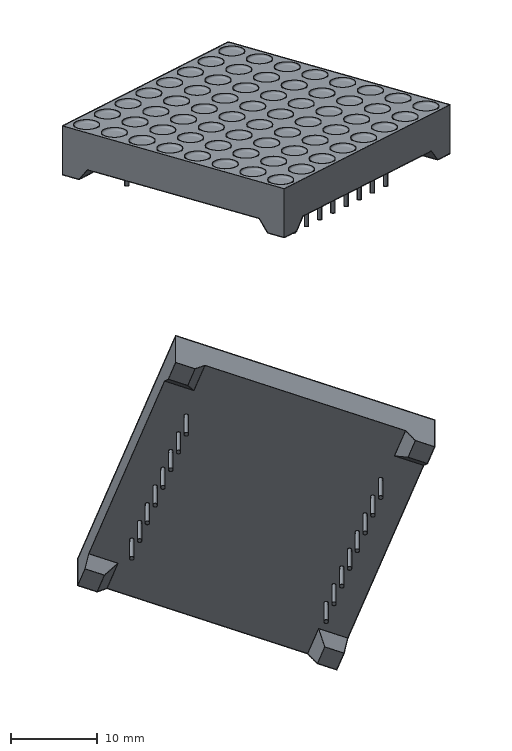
import cadquery as cq

side = 32.0
total_height = 8.77
body_height = 6.1
plate_thickness = 4.6

foot_tip_width = 2.4
foot_root_width = 3.6

dots_per_side = 8
dot_pitch = side / dots_per_side
dot_diameter = 3.0
dot_depth = 0.32
dot_floor_radius = 0.31

pin_diameter = 0.5
pins_per_row = 8
row_length = 17.8
pin_pitch = row_length / (pins_per_row - 1)
row_spacing = 24.0
pin_overlap = 0.32


def make_channel(plane):
    """Trapezoidal channel running through the whole underside, widening downwards."""
    half_root = side / 2 - foot_root_width
    half_tip = side / 2 - foot_tip_width
    return (
        cq.Workplane(plane)
        .polyline([
            (-half_root, -plate_thickness),
            (half_root, -plate_thickness),
            (half_tip, -body_height),
            (-half_tip, -body_height),
        ])
        .close()
        .extrude(side / 2, both=True)
    )


def make_body():
    """Square plate standing on four tapered corner feet."""
    block = cq.Workplane("XY").box(side, side, body_height, centered=(True, True, False))
    block = block.translate((0, 0, -body_height))
    return block.cut(make_channel("XZ")).cut(make_channel("YZ"))


def make_dots():
    """Grid of disc-shaped cutters with a rounded floor edge, one for each recess."""
    return (
        cq.Workplane("XY")
        .rarray(dot_pitch, dot_pitch, dots_per_side, dots_per_side)
        .circle(dot_diameter / 2)
        .extrude(-dot_depth)
        .faces("<Z")
        .edges()
        .fillet(dot_floor_radius)
    )


def make_pins():
    """Two rows of round pins reaching down from inside the plate."""
    pin_top = pin_overlap - plate_thickness
    return (
        cq.Workplane("XY")
        .workplane(offset=-total_height)
        .rarray(row_spacing, pin_pitch, 2, pins_per_row)
        .circle(pin_diameter / 2)
        .extrude(total_height + pin_top)
    )


result = make_body().cut(make_dots()).union(make_pins())